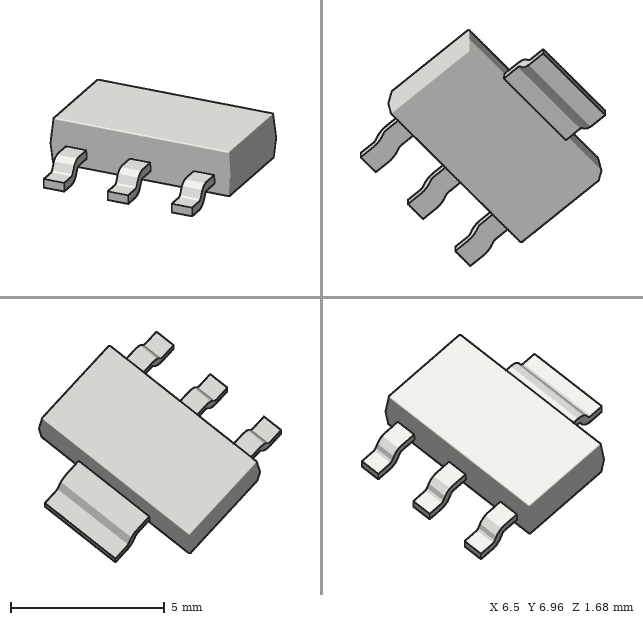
import cadquery as cq
import math

total_length = 6.96
body_width = 6.5
body_depth = 3.56
top_z = 1.68
standoff = 0.08
parting_z = 0.785
draft_angle = 5.0
edge_radius = 0.05

strip_thickness = 0.31
foot_length = 0.53
bend_angle = 62.0
inner_bend_radius = 0.14
outer_bend_radius = inner_bend_radius + strip_thickness
embed_depth = 0.35

lead_width = 0.74
lead_pitch = 2.305
lead_count = 3
tab_width = 3.03


def body_half(height):
    """Drafted block from the parting plane, upward or (negative height) downward, with rounded edges."""
    half = (
        cq.Workplane("XY")
        .rect(body_width, body_depth)
        .extrude(abs(height), taper=draft_angle)
        .edges("not <Z")
        .fillet(edge_radius)
    )
    if height < 0:
        half = half.mirror("XY")
    return half.translate((0, 0, parting_z))


def bent_strip(width):
    """Gull-wing strip centred on X = 0, running from inside the body out to the +Y end."""
    angle = math.radians(bend_angle)
    tip_y = total_length / 2
    foot_bend_y = tip_y - foot_length
    root_y = body_depth / 2 - embed_depth
    root_bottom_z = parting_z - strip_thickness

    bend_radius_sum = inner_bend_radius + outer_bend_radius
    slope_drop = root_bottom_z - bend_radius_sum * (1 - math.cos(angle))
    slope_run = slope_drop / math.tan(angle)
    body_bend_y = foot_bend_y - bend_radius_sum * math.sin(angle) - slope_run

    foot_center = (foot_bend_y, strip_thickness + inner_bend_radius)
    body_center = (body_bend_y, root_bottom_z - inner_bend_radius)

    def foot_point(radius, turn):
        return (foot_center[0] - radius * math.sin(turn), foot_center[1] - radius * math.cos(turn))

    def body_point(radius, turn):
        return (body_center[0] + radius * math.sin(turn), body_center[1] + radius * math.cos(turn))

    return (
        cq.Workplane("YZ")
        .moveTo(root_y, parting_z)
        .lineTo(*body_point(outer_bend_radius, 0))
        .threePointArc(body_point(outer_bend_radius, angle / 2), body_point(outer_bend_radius, angle))
        .lineTo(*foot_point(inner_bend_radius, angle))
        .threePointArc(foot_point(inner_bend_radius, angle / 2), foot_point(inner_bend_radius, 0))
        .lineTo(tip_y, strip_thickness)
        .lineTo(tip_y, 0)
        .lineTo(*foot_point(outer_bend_radius, 0))
        .threePointArc(foot_point(outer_bend_radius, angle / 2), foot_point(outer_bend_radius, angle))
        .lineTo(*body_point(inner_bend_radius, angle))
        .threePointArc(body_point(inner_bend_radius, angle / 2), body_point(inner_bend_radius, 0))
        .lineTo(root_y, root_bottom_z)
        .close()
        .extrude(width / 2, both=True)
    )


body = body_half(top_z - parting_z).union(body_half(standoff - parting_z))

result = body.union(bent_strip(tab_width))
lead = bent_strip(lead_width).mirror("XZ")
for index in range(lead_count):
    lead_x = (index - (lead_count - 1) / 2) * lead_pitch
    result = result.union(lead.translate((lead_x, 0, 0)))